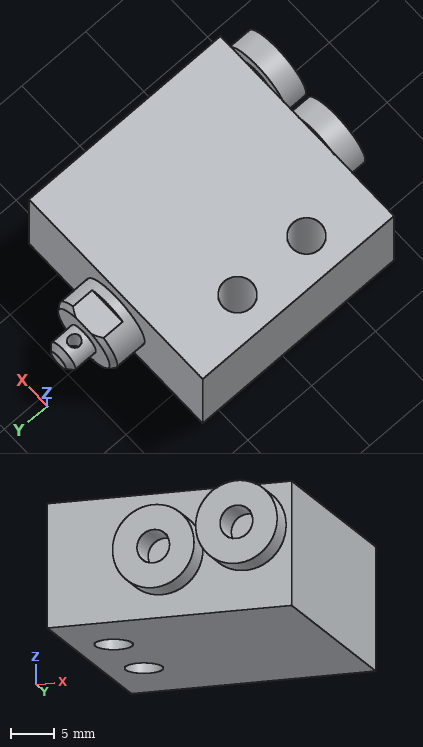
import cadquery as cq

BLOCK_WIDTH = 30.0
BLOCK_LENGTH = 30.0
BLOCK_HEIGHT = 15.0
FRONT_Y = -BLOCK_LENGTH / 2
BACK_Y = BLOCK_LENGTH / 2

MOUNT_HOLE_DIAMETER = 4.5
MOUNT_HOLE_X = -10.0
MOUNT_HOLE_PITCH = 10.8
REAR_MOUNT_HOLE_Y = 5.0

FITTING_LENGTH = 4.0
NECK_LENGTH = 0.8
COLLAR_LENGTH = FITTING_LENGTH - NECK_LENGTH
NECK_DIAMETER = 6.0
COLLAR_DIAMETER = 10.0
BORE_DIAMETER = 4.0
FITTING_CENTRES_XZ = [(-0.6, 0.0), (9.6, 2.0)]

NUT_DIAMETER = 10.0
NUT_LENGTH = 5.0
NUT_CHAMFER_LENGTH = 0.7
NUT_CHAMFER_DEPTH = 0.55
FLAT_SPACING = 8.5
FLAT_START = 1.3

STEM_DIAMETER = 4.2
STEM_LENGTH = 4.0
STEM_CHAMFER_LENGTH = 0.8
STEM_TIP_DIAMETER = 2.55
CROSS_HOLE_DIAMETER = 1.7
CROSS_HOLE_OFFSET = 1.5


def cylinder_along_y(x, z, start_y, diameter, length):
    """Cylinder running from start_y towards +Y."""
    base = cq.Workplane("XZ", origin=(x, start_y, z))
    return base.circle(diameter / 2).extrude(-length)


def make_block():
    block = cq.Workplane("XY").box(BLOCK_WIDTH, BLOCK_LENGTH, BLOCK_HEIGHT)
    front_mount_hole_y = REAR_MOUNT_HOLE_Y - MOUNT_HOLE_PITCH
    hole_centres = [(MOUNT_HOLE_X, REAR_MOUNT_HOLE_Y), (MOUNT_HOLE_X, front_mount_hole_y)]
    holes = (
        cq.Workplane("XY")
        .pushPoints(hole_centres)
        .circle(MOUNT_HOLE_DIAMETER / 2)
        .extrude(BLOCK_HEIGHT / 2, both=True)
    )
    return block.cut(holes)


def make_fitting(x, z):
    tip_y = FRONT_Y - FITTING_LENGTH
    collar = cylinder_along_y(x, z, tip_y, COLLAR_DIAMETER, COLLAR_LENGTH)
    neck = cylinder_along_y(x, z, FRONT_Y - NECK_LENGTH, NECK_DIAMETER, NECK_LENGTH)
    bore = cylinder_along_y(x, z, tip_y, BORE_DIAMETER, FITTING_LENGTH)
    return collar.union(neck).cut(bore)


def make_nut():
    radius = NUT_DIAMETER / 2
    end_y = BACK_Y + NUT_LENGTH
    nut = (
        cq.Workplane("XY")
        .moveTo(0, BACK_Y)
        .lineTo(radius, BACK_Y)
        .lineTo(radius, end_y - NUT_CHAMFER_LENGTH)
        .lineTo(radius - NUT_CHAMFER_DEPTH, end_y)
        .lineTo(0, end_y)
        .close()
        .revolve(360, (0, 0, 0), (0, 1, 0))
    )
    flat_length = NUT_LENGTH - FLAT_START
    flat_centre_y = end_y - flat_length / 2
    cutter_height = NUT_DIAMETER - FLAT_SPACING
    for side in (-1, 1):
        cutter_z = side * (FLAT_SPACING + cutter_height) / 2
        cutter = cq.Workplane("XY").box(NUT_DIAMETER, flat_length, cutter_height)
        nut = nut.cut(cutter.translate((0, flat_centre_y, cutter_z)))
    return nut


def make_stem():
    start_y = BACK_Y + NUT_LENGTH
    tip_y = start_y + STEM_LENGTH
    stem = (
        cq.Workplane("XY")
        .moveTo(0, start_y)
        .lineTo(STEM_DIAMETER / 2, start_y)
        .lineTo(STEM_DIAMETER / 2, tip_y - STEM_CHAMFER_LENGTH)
        .lineTo(STEM_TIP_DIAMETER / 2, tip_y)
        .lineTo(0, tip_y)
        .close()
        .revolve(360, (0, 0, 0), (0, 1, 0))
    )
    cross_hole = (
        cq.Workplane("XY")
        .center(0, start_y + CROSS_HOLE_OFFSET)
        .circle(CROSS_HOLE_DIAMETER / 2)
        .extrude(STEM_DIAMETER, both=True)
    )
    return stem.cut(cross_hole)


result = make_block()
for fitting_x, fitting_z in FITTING_CENTRES_XZ:
    result = result.union(make_fitting(fitting_x, fitting_z))
result = result.union(make_nut()).union(make_stem())